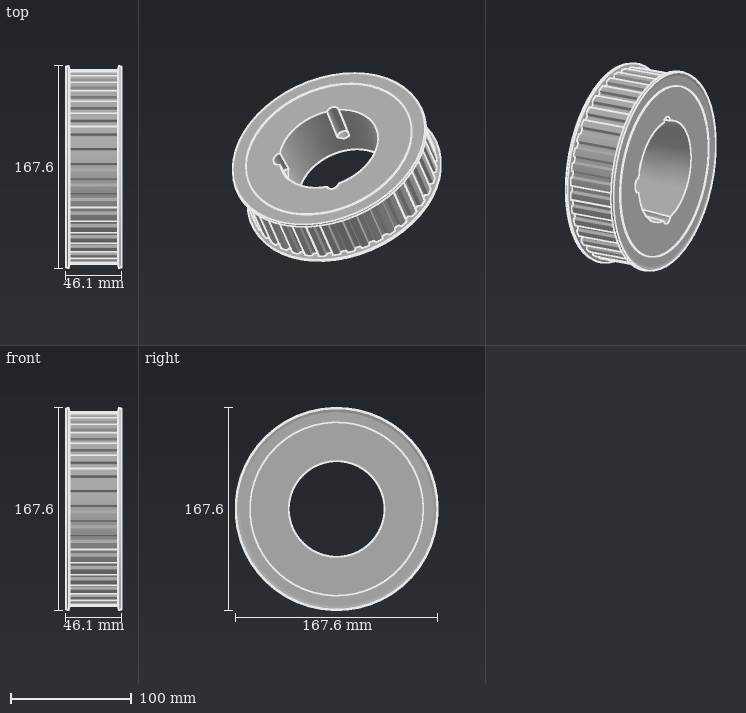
import cadquery as cq
import math

TOTAL_WIDTH = 46.1
MID_X = TOTAL_WIDTH / 2

FLANGE_RADIUS = 83.8
FLANGE_BORE_RADIUS = 71.7
BEND_RADIUS = 80.3
SHEET_THICKNESS = 2.3
FLARE_ANGLE = math.radians(15)

RIM_OUTER_RADIUS = FLANGE_RADIUS - SHEET_THICKNESS * math.sin(FLARE_ANGLE)
RIM_EDGE_X = SHEET_THICKNESS * math.cos(FLARE_ANGLE)
FLAT_OUTER_X = (RIM_OUTER_RADIUS - BEND_RADIUS) * math.tan(FLARE_ANGLE)
FLAT_INNER_X = FLAT_OUTER_X + SHEET_THICKNESS
INNER_BEND_RADIUS = FLANGE_RADIUS - (FLAT_INNER_X - RIM_EDGE_X) / math.tan(FLARE_ANGLE)

TOOTH_COUNT = 40
TOOTH_TIP_RADIUS = 80.5
GROOVE_DEPTH = 3.0
GROOVE_FLOOR_WIDTH = 4.2
GROOVE_FLANK_ANGLE = math.radians(20)
GROOVE_CORNER_RADIUS = 1.2
GROOVE_LIP_RADIUS = 0.5

BORE_RADIUS = 42.7
BORE_HALF_ANGLE = math.radians(4)

DRILL_RADIUS = 5.2
DRILL_Y = -3.5
DRILL_Z = 41.2
DRILL_DEPTH = 30.2
DRILL_TIP_HALF_ANGLE = math.radians(59)
SCREW_RADIUS = 6.7
SCREW_Y = 41.2
SCREW_DEPTH = 20.1


def turned(points):
    """Revolve a closed outline of (x, radius) points about the X axis."""
    return cq.Workplane("XY").polyline(points).close().revolve(360, (0, 0, 0), (1, 0, 0))


def make_flange():
    """The flange at the low-X end."""
    return turned([
        (FLAT_OUTER_X, FLANGE_BORE_RADIUS),
        (FLAT_OUTER_X, BEND_RADIUS),
        (0, RIM_OUTER_RADIUS),
        (RIM_EDGE_X, FLANGE_RADIUS),
        (FLAT_INNER_X, INNER_BEND_RADIUS),
        (FLAT_INNER_X, FLANGE_BORE_RADIUS),
    ])


def groove_cutter():
    """One tooth groove, centred on +Y, with rounded floor corners."""
    floor_y = TOOTH_TIP_RADIUS - GROOVE_DEPTH
    half_floor = GROOVE_FLOOR_WIDTH / 2
    half_lip = half_floor + GROOVE_DEPTH * math.tan(GROOVE_FLANK_ANGLE)
    length = TOTAL_WIDTH - 2 * FLAT_INNER_X
    return (
        cq.Workplane("YZ", origin=(FLAT_INNER_X, 0, 0))
        .polyline([
            (floor_y, -half_floor),
            (TOOTH_TIP_RADIUS, -half_lip),
            (TOOTH_TIP_RADIUS, half_lip),
            (floor_y, half_floor),
        ])
        .close()
        .extrude(length)
        .edges("|X and <Y")
        .fillet(GROOVE_CORNER_RADIUS)
    )


def make_hub():
    """Hub blank with a spigot at each end for the flanges and a tapered bore."""
    far_seat_x = TOTAL_WIDTH - FLAT_INNER_X
    far_bore_radius = BORE_RADIUS - TOTAL_WIDTH * math.tan(BORE_HALF_ANGLE)
    return turned([
        (0, BORE_RADIUS),
        (0, FLANGE_BORE_RADIUS),
        (FLAT_INNER_X, FLANGE_BORE_RADIUS),
        (FLAT_INNER_X, TOOTH_TIP_RADIUS),
        (far_seat_x, TOOTH_TIP_RADIUS),
        (far_seat_x, FLANGE_BORE_RADIUS),
        (TOTAL_WIDTH, FLANGE_BORE_RADIUS),
        (TOTAL_WIDTH, far_bore_radius),
    ])


def cut_grooves(hub):
    groove = groove_cutter().val()
    pitch_angle = 360 / TOOTH_COUNT
    grooves = [groove.rotate((0, 0, 0), (1, 0, 0), i * pitch_angle) for i in range(TOOTH_COUNT)]
    return hub.cut(cq.Compound.makeCompound(grooves))


def is_groove_lip(edge):
    """True for an edge that lies at the tooth tip radius."""
    centre = edge.Center()
    return math.isclose(math.hypot(centre.y, centre.z), TOOTH_TIP_RADIUS, rel_tol=1e-6)


def round_groove_lips(hub):
    return hub.edges("|X").filter(is_groove_lip).fillet(GROOVE_LIP_RADIUS)


def cut_bore_holes(hub):
    """Two drilled holes with conical ends, and one flat-bottomed screw hole."""
    tip_length = DRILL_RADIUS / math.tan(DRILL_TIP_HALF_ANGLE)
    for z in (-DRILL_Z, DRILL_Z):
        drill = (
            cq.Workplane("XY", origin=(0, DRILL_Y, z))
            .polyline([(0, 0), (0, DRILL_RADIUS), (DRILL_DEPTH, DRILL_RADIUS), (DRILL_DEPTH + tip_length, 0)])
            .close()
            .revolve(360, (0, 0, 0), (1, 0, 0))
        )
        hub = hub.cut(drill)
    screw_hole = cq.Workplane("YZ", origin=(0, SCREW_Y, 0)).circle(SCREW_RADIUS).extrude(SCREW_DEPTH)
    return hub.cut(screw_hole)


hub = make_hub()
hub = cut_grooves(hub)
hub = round_groove_lips(hub)
hub = cut_bore_holes(hub)
near_flange = make_flange()
far_flange = near_flange.mirror("YZ", (MID_X, 0, 0))

result = cq.Compound.makeCompound([hub.val(), near_flange.val(), far_flange.val()])